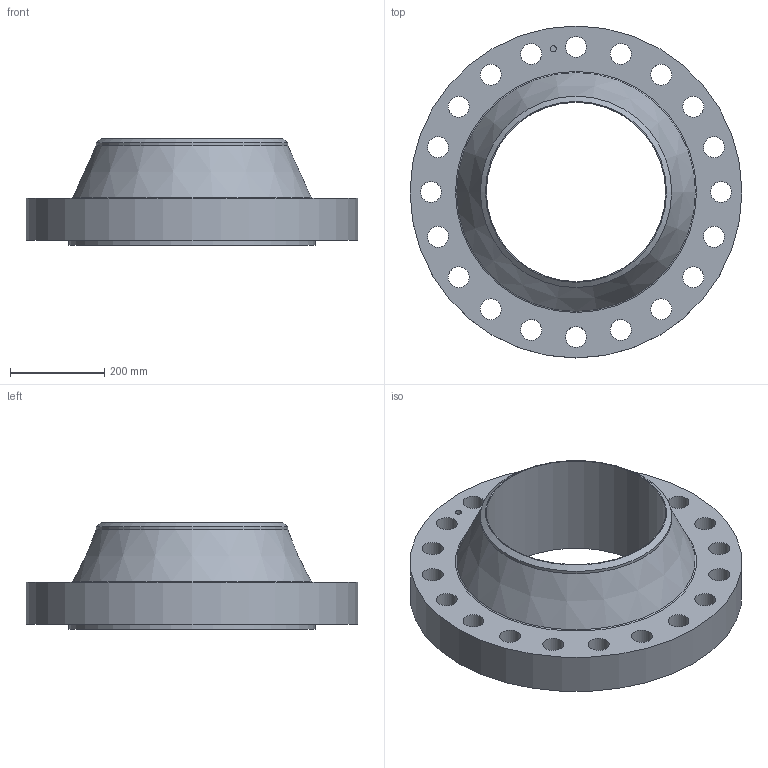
import cadquery as cq
import math

flange_diameter = 704.85
flange_thickness = 88.9
face_diameter = 523.9
face_height = 11.11

overall_height = 227.01
hub_base_diameter = 508.0
neck_diameter = 406.4
wall_thickness = 12.7
bore_diameter = neck_diameter - 2 * wall_thickness
hub_fillet_radius = 3.0

root_face = 1.6
bevel_angle = 37.5
bevel_width = wall_thickness - root_face
bevel_height = bevel_width * math.tan(math.radians(bevel_angle))
neck_straight_length = 6.35

bolt_count = 20
bolt_circle_diameter = 616.0
bolt_hole_diameter = 44.45
bolt_pitch_angle = 360.0 / bolt_count

pin_hole_diameter = 13.0
pin_hole_depth = 25.0
pin_hole_angle = 90.0 + bolt_pitch_angle / 2

flange_top = face_height + flange_thickness
bevel_start = overall_height - bevel_height
taper_end = bevel_start - neck_straight_length


def make_body():
    """Revolve the half section of the flange, hub and neck about Z."""
    section = [
        (bore_diameter / 2, 0),
        (face_diameter / 2, 0),
        (face_diameter / 2, face_height),
        (flange_diameter / 2, face_height),
        (flange_diameter / 2, flange_top),
        (hub_base_diameter / 2, flange_top),
        (neck_diameter / 2, taper_end),
        (neck_diameter / 2, bevel_start),
        (neck_diameter / 2 - bevel_width, overall_height),
        (bore_diameter / 2, overall_height),
    ]
    return cq.Workplane("XZ").polyline(section).close().revolve(360, (0, 0, 0), (0, 1, 0))


def fillet_hub_base(body):
    """Round the inside corner where the hub meets the flange."""
    centred_on_flange_top = cq.selectors.BoxSelector(
        (-hub_fillet_radius, -hub_fillet_radius, flange_top - hub_fillet_radius),
        (hub_fillet_radius, hub_fillet_radius, flange_top + hub_fillet_radius),
    )
    corner = body.edges(centred_on_flange_top).edges(cq.selectors.RadiusNthSelector(0))
    return corner.fillet(hub_fillet_radius)


def cut_bolt_holes(body):
    """Drill the bolt holes, evenly spaced on the bolt circle."""
    holes = (
        cq.Workplane("XY")
        .polarArray(bolt_circle_diameter / 2, 0, 360, bolt_count)
        .circle(bolt_hole_diameter / 2)
        .extrude(flange_top)
    )
    return body.cut(holes)


def cut_pin_hole(body):
    """Drill the small blind hole into the top of the flange."""
    hole = (
        cq.Workplane("XY", origin=(0, 0, flange_top - pin_hole_depth))
        .polarArray(bolt_circle_diameter / 2, pin_hole_angle, 360, 1)
        .circle(pin_hole_diameter / 2)
        .extrude(pin_hole_depth)
    )
    return body.cut(hole)


flange = make_body()
flange = fillet_hub_base(flange)
flange = cut_bolt_holes(flange)
result = cut_pin_hole(flange)